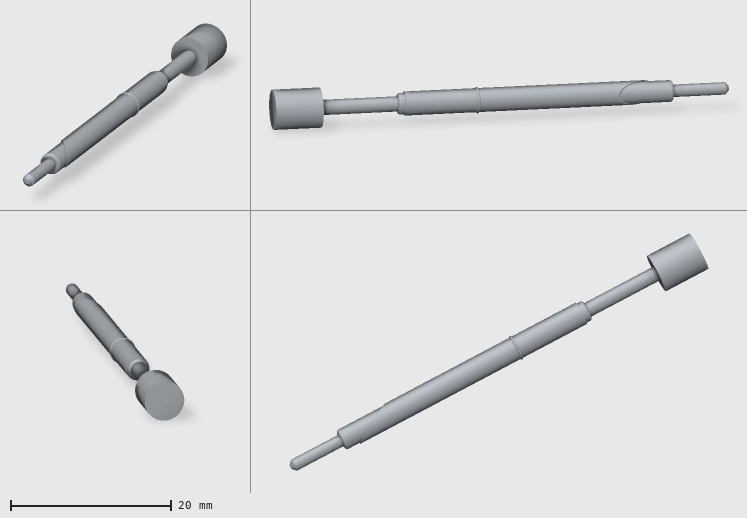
import cadquery as cq
import math

length = 57.75

head_diameter = 5.0
head_length = 6.0
shaft_diameter = 1.9

barrel_diameter = 2.7
barrel_rear = 7.1
barrel_front = 42.0
barrel_rounding = 0.35

sleeve_diameter = 3.0
sleeve_front = 41.1
sleeve_joint = 24.15
bead_center = 31.9
bead_width = 0.35
bead_height = 0.145
slant_angle = 60.0
slant_center = 11.55

tail_diameter = 1.55
tip_chamfer = 0.45


def cylinder(diameter, start, end):
    """Round bar on the Y axis between two Y positions."""
    plane = cq.Plane(origin=(0, start, 0), xDir=(1, 0, 0), normal=(0, 1, 0))
    return cq.Workplane(plane).circle(diameter / 2).extrude(end - start)


def tube(start, end):
    """Sleeve tube that fits closely around the barrel."""
    return cylinder(sleeve_diameter, start, end).cut(cylinder(barrel_diameter, start, end))


def make_plunger():
    head_base = length - head_length
    shaft = cylinder(shaft_diameter, barrel_front, head_base)
    return shaft.union(cylinder(head_diameter, head_base, length))


def make_barrel():
    barrel = cylinder(barrel_diameter, barrel_rear, barrel_front)
    return barrel.faces("<Y or >Y").edges().fillet(barrel_rounding)


def make_bead():
    """Rounded press-fit ring, with its inner side inside the tube wall."""
    inner_radius = (barrel_diameter + sleeve_diameter) / 4
    outer_radius = sleeve_diameter / 2
    rear = bead_center - bead_width / 2
    front = bead_center + bead_width / 2
    return (
        cq.Workplane("XY")
        .moveTo(inner_radius, rear)
        .lineTo(outer_radius, rear)
        .threePointArc((outer_radius + bead_height, bead_center), (outer_radius, front))
        .lineTo(inner_radius, front)
        .close()
        .revolve(360, (0, 0, 0), (0, 1, 0))
    )


def make_front_sleeve():
    return tube(sleeve_joint, sleeve_front).union(make_bead())


def make_rear_sleeve():
    """Tube whose rear end is cut on a slant, longest on the +X side."""
    reach = sleeve_diameter
    rise = reach * math.tan(math.radians(slant_angle))
    kept_side = (
        cq.Workplane("XY")
        .polyline([
            (-reach, slant_center + rise),
            (reach, slant_center - rise),
            (reach, sleeve_joint),
            (-reach, sleeve_joint),
        ])
        .close()
        .extrude(sleeve_diameter, both=True)
    )
    return tube(barrel_rear, sleeve_joint).intersect(kept_side)


def make_tail_pin():
    pin = cylinder(tail_diameter, 0, barrel_rear)
    return pin.faces("<Y").edges().chamfer(tip_chamfer)


plunger = make_plunger()
barrel = make_barrel()
front_sleeve = make_front_sleeve()
rear_sleeve = make_rear_sleeve()
tail_pin = make_tail_pin()

result = cq.Compound.makeCompound([
    plunger.val(),
    barrel.val(),
    front_sleeve.val(),
    rear_sleeve.val(),
    tail_pin.val(),
])